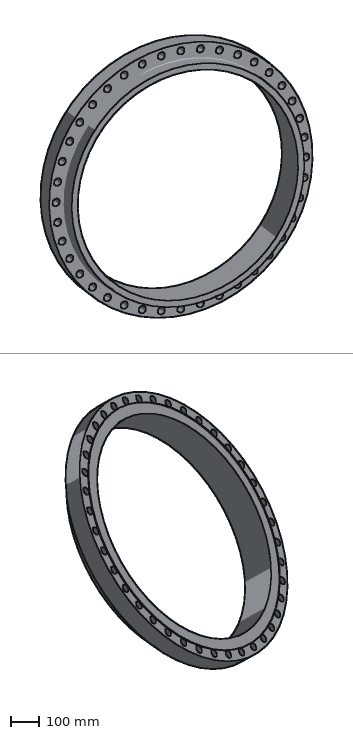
import cadquery as cq

outer_diameter = 1041.0
total_length = 132.0

raised_face_diameter = 958.0
raised_face_height = 3.0
flange_back = 75.0

hub_diameter = 920.0
hub_fillet = 6.0
bore_diameter = 871.0

bolt_count = 40
bolt_circle_diameter = 987.0
bolt_hole_diameter = 28.0


def flange_body():
    """Revolve the ring profile, drawn as (X, radius), about the X axis."""
    bore_radius = bore_diameter / 2
    face_radius = raised_face_diameter / 2
    outer_radius = outer_diameter / 2
    hub_radius = hub_diameter / 2
    arc_offset = hub_fillet * (1 - 0.5 ** 0.5)
    fillet_middle = (flange_back + arc_offset, hub_radius + arc_offset)
    return (
        cq.Workplane("XZ")
        .moveTo(0, bore_radius)
        .lineTo(0, face_radius)
        .lineTo(raised_face_height, face_radius)
        .lineTo(raised_face_height, outer_radius)
        .lineTo(flange_back, outer_radius)
        .lineTo(flange_back, hub_radius + hub_fillet)
        .threePointArc(fillet_middle, (flange_back + hub_fillet, hub_radius))
        .lineTo(total_length, hub_radius)
        .lineTo(total_length, bore_radius)
        .close()
        .revolve(360, (0, 0, 0), (1, 0, 0))
    )


def bolt_holes():
    """Evenly spaced cylinders through the flange, one on the +Y axis."""
    return (
        cq.Workplane("YZ")
        .polarArray(bolt_circle_diameter / 2, 0, 360, bolt_count)
        .circle(bolt_hole_diameter / 2)
        .extrude(flange_back)
    )


result = flange_body().cut(bolt_holes())